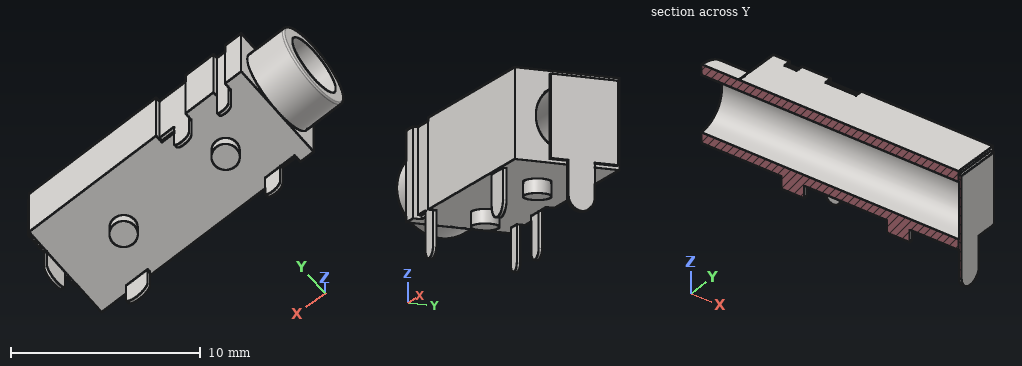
import cadquery as cq


TOTAL_LENGTH = 17.2
SHEET = 0.2
HOUSING_WIDTH = 6.0
HOUSING_HEIGHT = 5.0
SLEEVE_LENGTH = 2.5
SLEEVE_DIAMETER = HOUSING_HEIGHT
SLEEVE_EDGE_RADIUS = 0.1
BORE_DIAMETER = 3.6
HOUSING_BACK = TOTAL_LENGTH - SHEET
HOUSING_SIDE = HOUSING_WIDTH / 2
HOUSING_TOP = HOUSING_HEIGHT / 2
HOUSING_BOTTOM = -HOUSING_TOP

PEG_DIAMETER = 1.5
PEG_HEIGHT = 0.79
PEG_POSITIONS = [6.04, 13.0]

NOTCH_DEPTH = 0.48
NOTCH_FLOOR = HOUSING_SIDE - NOTCH_DEPTH
FRONT_CONTACT_START = 3.4
REAR_CONTACT_START = 6.3
WIDE_CONTACT_WIDTH = 2.01
WIDE_CONTACT_LEG = 1.01
NARROW_CONTACT_START = 3.6
NARROW_CONTACT_WIDTH = 0.79
PLATE_MARGIN = 0.2

LEG_LENGTH = 2.5
LEG_TIP = HOUSING_BOTTOM - LEG_LENGTH
BROAD_LEG_WIDTH = 1.5

SIDE_LEG_START = 13.54
SIDE_LEG_MIN_Y = -2.84

BACK_PLATE_Y_MIN = -1.01
BACK_PLATE_Y_MAX = 2.82
BACK_LEG_START = 0.0


def box_between(x_min, x_max, y_min, y_max, z_min, z_max):
    """Box given by its limits along each axis."""
    size = (x_max - x_min, y_max - y_min, z_max - z_min)
    return cq.Workplane("XY").box(*size, centered=False).translate((x_min, y_min, z_min))


def make_leg(plane, start, width, top):
    """Sheet leg with a half-round tip, extruded by one sheet thickness along the plane normal."""
    radius = width / 2
    straight_end = LEG_TIP + radius
    return (
        cq.Workplane(plane)
        .moveTo(start, top)
        .lineTo(start, straight_end)
        .threePointArc((start + radius, LEG_TIP), (start + width, straight_end))
        .lineTo(start + width, top)
        .close()
        .extrude(SHEET)
    )


def side_plane(y):
    """XZ plane at the given y, with its normal along -Y."""
    return cq.Plane(origin=(0, y, 0), xDir=(1, 0, 0), normal=(0, -1, 0))


def side_notch(start, width, side):
    """Full-height notch cutter; side is +1 for +Y and -1 for -Y."""
    y_min, y_max = sorted((side * NOTCH_FLOOR, side * HOUSING_SIDE))
    return box_between(start, start + width, y_min, y_max, HOUSING_BOTTOM, HOUSING_TOP)


def make_housing():
    block = box_between(
        SLEEVE_LENGTH, HOUSING_BACK, -HOUSING_SIDE, HOUSING_SIDE, HOUSING_BOTTOM, HOUSING_TOP
    )
    for start, width, side in [
        (FRONT_CONTACT_START, WIDE_CONTACT_WIDTH, -1),
        (REAR_CONTACT_START, WIDE_CONTACT_WIDTH, 1),
        (NARROW_CONTACT_START, NARROW_CONTACT_WIDTH, 1),
    ]:
        block = block.cut(side_notch(start, width, side))

    sleeve = cq.Workplane("YZ").circle(SLEEVE_DIAMETER / 2).extrude(SLEEVE_LENGTH)
    sleeve = sleeve.faces("<X").edges().fillet(SLEEVE_EDGE_RADIUS)
    bore = cq.Workplane("YZ").circle(BORE_DIAMETER / 2).extrude(HOUSING_BACK)

    pegs = (
        cq.Workplane("XY", origin=(0, 0, HOUSING_BOTTOM))
        .pushPoints([(x, 0) for x in PEG_POSITIONS])
        .circle(PEG_DIAMETER / 2)
        .extrude(-PEG_HEIGHT)
    )
    return block.union(sleeve).union(pegs).cut(bore)


def make_wide_contact(start, leg_start, face_y):
    """Side plate with one narrower leg; face_y is the +Y face of the sheet."""
    plate = box_between(
        start,
        start + WIDE_CONTACT_WIDTH,
        face_y - SHEET,
        face_y,
        HOUSING_BOTTOM + PLATE_MARGIN,
        HOUSING_TOP,
    )
    leg = make_leg(side_plane(face_y), leg_start, WIDE_CONTACT_LEG, HOUSING_BOTTOM + PLATE_MARGIN)
    return plate.union(leg)


def make_narrow_contact():
    """Straight strip running from the housing top down to its leg tip."""
    plane = side_plane(NOTCH_FLOOR + SHEET)
    return make_leg(plane, NARROW_CONTACT_START, NARROW_CONTACT_WIDTH, HOUSING_TOP)


def make_side_leg():
    """Leg standing against the underside of the housing."""
    plane = side_plane(SIDE_LEG_MIN_Y + SHEET)
    return make_leg(plane, SIDE_LEG_START, BROAD_LEG_WIDTH, HOUSING_BOTTOM)


def make_back_plate():
    """Flat plate on the housing back, with one leg."""
    plate_bottom = HOUSING_BOTTOM + PLATE_MARGIN
    plate = box_between(
        HOUSING_BACK,
        TOTAL_LENGTH,
        BACK_PLATE_Y_MIN,
        BACK_PLATE_Y_MAX,
        plate_bottom,
        HOUSING_TOP - PLATE_MARGIN,
    )
    back_plane = cq.Plane(origin=(HOUSING_BACK, 0, 0), xDir=(0, 1, 0), normal=(1, 0, 0))
    leg = make_leg(back_plane, BACK_LEG_START, BROAD_LEG_WIDTH, plate_bottom)
    return plate.union(leg)


housing = make_housing()
front_leg_start = FRONT_CONTACT_START + WIDE_CONTACT_WIDTH - WIDE_CONTACT_LEG
front_contact = make_wide_contact(FRONT_CONTACT_START, front_leg_start, -NOTCH_FLOOR)
rear_contact = make_wide_contact(REAR_CONTACT_START, REAR_CONTACT_START, NOTCH_FLOOR + SHEET)
narrow_contact = make_narrow_contact()
side_leg = make_side_leg()
back_plate = make_back_plate()

result = cq.Compound.makeCompound(
    [
        housing.val(),
        front_contact.val(),
        rear_contact.val(),
        narrow_contact.val(),
        side_leg.val(),
        back_plate.val(),
    ]
)